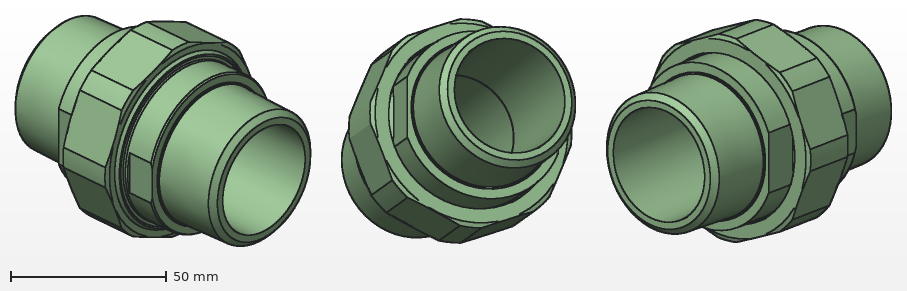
import cadquery as cq
import math


half_length = 45.5
end_radius = 21.5
thread_small_radius = 23.6
thread_large_radius = 24.2
end_chamfer_length = 2.0
thread_root_x = 22.0
neck_diameter = 49.5

collar_diameter = 56.0
collar_face_x = 21.6
joint_x = 0.0

left_bore_diameter = 38.2
left_flat_distance = 52.05
flat_runout_length = 0.7

right_bore_diameter = 38.0
right_flat_distance = 54.0
right_flat_start_x = 11.4
right_shoulder_x = 10.4
right_shoulder_diameter = 56.5
collar_edge_length = 0.6
collar_edge_height = 0.5

seat_start_x = -8.7
seat_end_x = -7.3

nut_left_x = -11.5
nut_right_x = 8.5
nut_corner_diameter = 69.7
nut_across_flats = 66.9
nut_side_count = 8
nut_lip_diameter = 57.2
nut_bore_diameter = 58.7
nut_face_radius = 33.3
nut_edge_length = 0.55
nut_rim_x = 9.65
nut_rim_base_diameter = 61.9
nut_rim_end_diameter = 60.0


def revolve_about_x(points):
    """Revolve a closed (x, radius) outline about the X axis."""
    return cq.Workplane("XY").polyline(points).close().revolve(360, (0, 0, 0), (1, 0, 0))


def threaded_end_outline(side):
    """Outline from the pipe end to the neck; side is -1 for the left end and 1 for the right."""
    neck_radius = neck_diameter / 2
    return [
        (side * half_length, end_radius),
        (side * (half_length - end_chamfer_length), thread_small_radius),
        (side * thread_root_x, thread_large_radius),
        (side * thread_root_x, neck_radius),
        (side * collar_face_x, neck_radius),
    ]


def cut_wrench_flats(body, start_x, end_x, flat_distance):
    """Cut two opposite flats, facing -Y and +Y, between two places along X."""
    depth = collar_diameter
    for side in (-1, 1):
        cutter = cq.Workplane("XY").box(end_x - start_x, depth, 2 * collar_diameter)
        cutter = cutter.translate(((start_x + end_x) / 2, side * (flat_distance + depth) / 2, 0))
        body = body.cut(cutter)
    return body


def make_left_tailpiece():
    bore_radius = left_bore_diameter / 2
    collar_radius = collar_diameter / 2
    flange_radius = nut_bore_diameter / 2
    body = revolve_about_x(
        [(-half_length, bore_radius)]
        + threaded_end_outline(-1)
        + [(-collar_face_x, collar_radius), (joint_x, collar_radius), (joint_x, bore_radius)]
    )
    body = cut_wrench_flats(body, -collar_face_x, seat_start_x, left_flat_distance)

    flange = revolve_about_x([
        (seat_start_x - flat_runout_length, left_flat_distance / 2),
        (seat_start_x, collar_radius),
        (seat_start_x, nut_lip_diameter / 2),
        (seat_end_x, flange_radius),
        (joint_x, flange_radius),
        (joint_x, left_flat_distance / 2),
    ])
    return body.union(flange)


def make_right_tailpiece():
    bore_radius = right_bore_diameter / 2
    collar_radius = collar_diameter / 2
    shoulder_radius = right_shoulder_diameter / 2
    spigot_radius = nut_bore_diameter / 2
    body = revolve_about_x(
        [(half_length, bore_radius)]
        + threaded_end_outline(1)
        + [
            (collar_face_x, collar_radius - collar_edge_height),
            (collar_face_x - collar_edge_length, collar_radius),
            (right_shoulder_x, collar_radius),
            (nut_rim_x, shoulder_radius),
            (nut_rim_x, spigot_radius),
            (joint_x, spigot_radius),
            (joint_x, bore_radius),
        ]
    )
    return cut_wrench_flats(body, right_flat_start_x, collar_face_x, right_flat_distance)


def make_nut():
    corner_radius = nut_corner_diameter / 2
    lip_radius = nut_lip_diameter / 2
    bore_radius = nut_bore_diameter / 2

    octagon_diameter = nut_across_flats / math.cos(math.pi / nut_side_count)
    octagon = (
        cq.Workplane("YZ", origin=(nut_left_x, 0, 0))
        .polygon(nut_side_count, octagon_diameter)
        .extrude(nut_right_x - nut_left_x)
    )

    envelope = revolve_about_x([
        (nut_left_x, 0),
        (nut_left_x, nut_face_radius),
        (nut_left_x + nut_edge_length, corner_radius),
        (nut_right_x - nut_edge_length, corner_radius),
        (nut_right_x, nut_face_radius),
        (nut_right_x, 0),
    ])

    rim = revolve_about_x([
        (nut_right_x, 0),
        (nut_right_x, nut_rim_base_diameter / 2),
        (nut_rim_x, nut_rim_end_diameter / 2),
        (nut_rim_x, 0),
    ])

    bore = revolve_about_x([
        (nut_left_x, 0),
        (nut_left_x, lip_radius),
        (seat_start_x, lip_radius),
        (seat_end_x, bore_radius),
        (nut_rim_x, bore_radius),
        (nut_rim_x, 0),
    ])
    return octagon.intersect(envelope).union(rim).cut(bore)


left_tailpiece = make_left_tailpiece()
right_tailpiece = make_right_tailpiece()
nut = make_nut()

result = cq.Compound.makeCompound([left_tailpiece.val(), right_tailpiece.val(), nut.val()])